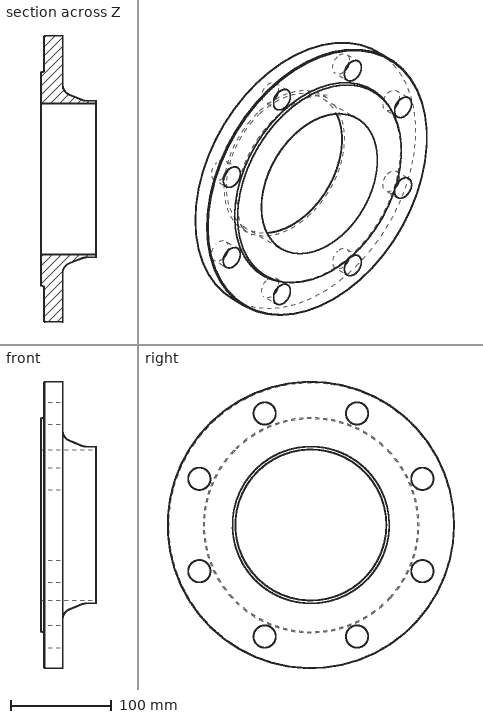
import cadquery as cq

outer_dia = 285.0
bore_dia = 150.0
overall_length = 55.0

face_dia = 212.0
face_height = 3.0
face_flare = 1.0
flange_back = 22.0
rim_chamfer = 0.9

neck_tip_dia = 156.0
neck_root_dia = 173.3
weld_length = 12.0
neck_fillet = 10.0

bolt_count = 8
bolt_circle_dia = 240.0
bolt_hole_dia = 22.0

sealing_x = -overall_length / 2
plate_front_x = sealing_x + face_height
plate_back_x = sealing_x + flange_back
weld_end_x = sealing_x + overall_length
cone_end_x = weld_end_x - weld_length


def revolved_body():
    """Revolve the solid half section, without the bore, about X."""
    return (
        cq.Workplane("XY")
        .moveTo(sealing_x, 0)
        .lineTo(sealing_x, face_dia / 2)
        .lineTo(plate_front_x, face_dia / 2 + face_flare)
        .lineTo(plate_front_x, outer_dia / 2 - rim_chamfer)
        .lineTo(plate_front_x + rim_chamfer, outer_dia / 2)
        .lineTo(plate_back_x, outer_dia / 2)
        .lineTo(plate_back_x, neck_root_dia / 2)
        .lineTo(cone_end_x, neck_tip_dia / 2)
        .lineTo(weld_end_x, neck_tip_dia / 2)
        .lineTo(weld_end_x, 0)
        .close()
        .revolve(360, (0, 0, 0), (1, 0, 0))
    )


def blend_neck(body):
    """Round both ends of the neck cone."""
    tolerance = 0.03
    selection_radius = outer_dia / 2 - rim_chamfer
    root_and_tip = cq.selectors.BoxSelector(
        (plate_back_x - tolerance, -selection_radius, -selection_radius),
        (cone_end_x + tolerance, selection_radius, selection_radius),
        boundingbox=True,
    )
    circles = body.edges("%CIRCLE").edges(root_and_tip)
    return circles.fillet(neck_fillet)


def through_cutter(diameter):
    """Cylinder along X through the whole part."""
    return (
        cq.Workplane("YZ", origin=(sealing_x, 0, 0))
        .circle(diameter / 2)
        .extrude(overall_length)
    )


def bolt_holes():
    """Bolt holes straddling the Y and Z axes."""
    half_pitch = 180 / bolt_count
    return (
        cq.Workplane("YZ", origin=(plate_front_x, 0, 0))
        .polarArray(bolt_circle_dia / 2, half_pitch, 360, bolt_count)
        .circle(bolt_hole_dia / 2)
        .extrude(plate_back_x - plate_front_x)
    )


flange = blend_neck(revolved_body())
result = flange.cut(through_cutter(bore_dia)).cut(bolt_holes())